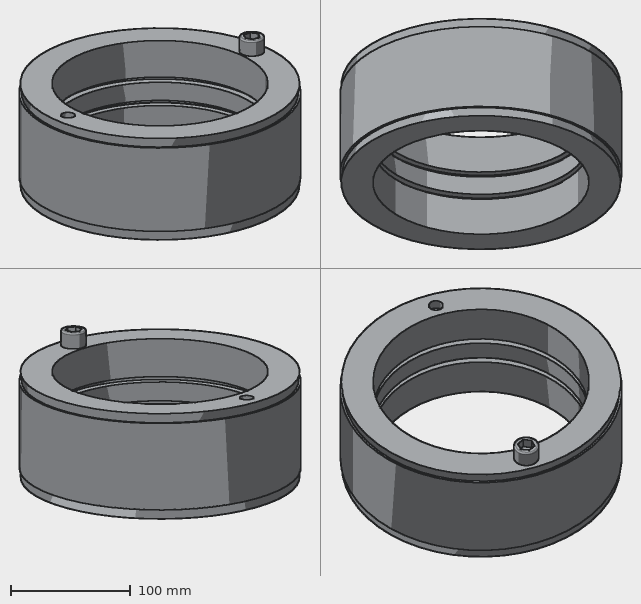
import cadquery as cq

sleeve_diameter = 235.0
bore_diameter = 180.0
ring_stack_height = 92.1
flange_thickness = 8.2
flange_face_diameter = 233.0
flange_root_diameter = 231.0
collar_height = 33.1
collar_diameter = 191.8
groove_width = 4.7
groove_diameter = 193.6

bolt_circle_radius = 102.0
head_diameter = 21.0
head_height = 13.9
head_fillet = 1.5
shank_diameter = 14.0
shank_length = 28.2
hex_across_corners = 14.0
hex_depth = 7.5
socket_tip_height = 3.5
extraction_hole_diameter = 11.8

socket_depth = hex_depth + socket_tip_height
bore_radius = bore_diameter / 2
collar_radius = collar_diameter / 2
groove_radius = groove_diameter / 2


def revolve_profile(points):
    """Revolve a closed (radius, z) profile about the Z axis."""
    return cq.Workplane("XZ").polyline(points).close().revolve(360, (0, 0), (0, 1))


def make_end_ring():
    """Lower end ring: a tapered flange with a collar that fits inside the sleeve."""
    return revolve_profile([
        (bore_radius, 0),
        (flange_face_diameter / 2, 0),
        (flange_root_diameter / 2, flange_thickness),
        (collar_radius, flange_thickness),
        (collar_radius, collar_height),
        (bore_radius, collar_height),
    ])


def make_sleeve():
    """Outer sleeve: a collar seat at each end, then a groove, then the central land."""
    sleeve_top = ring_stack_height - flange_thickness
    lower_groove_top = collar_height + groove_width
    upper_groove_top = ring_stack_height - collar_height
    return revolve_profile([
        (collar_radius, flange_thickness),
        (sleeve_diameter / 2, flange_thickness),
        (sleeve_diameter / 2, sleeve_top),
        (collar_radius, sleeve_top),
        (collar_radius, upper_groove_top),
        (groove_radius, upper_groove_top),
        (groove_radius, upper_groove_top - groove_width),
        (bore_radius, upper_groove_top - groove_width),
        (bore_radius, lower_groove_top),
        (groove_radius, lower_groove_top),
        (groove_radius, collar_height),
        (collar_radius, collar_height),
    ])


def make_shank():
    """Screw shank, also used to cut its matching hole."""
    return (
        cq.Workplane("XY", origin=(0, bolt_circle_radius, ring_stack_height))
        .circle(shank_diameter / 2)
        .extrude(-shank_length)
    )


def make_screw():
    """Socket head screw with a cone-bottomed hexagonal socket."""
    head_top = ring_stack_height + head_height
    head = (
        cq.Workplane("XY", origin=(0, bolt_circle_radius, ring_stack_height))
        .circle(head_diameter / 2)
        .extrude(head_height)
        .faces(">Z").edges().fillet(head_fillet)
    )
    hex_prism = (
        cq.Workplane("XY", origin=(0, bolt_circle_radius, head_top))
        .transformed(rotate=(0, 0, 90))
        .polygon(6, hex_across_corners)
        .extrude(-socket_depth)
    )
    socket_envelope = (
        cq.Workplane("XZ", origin=(0, bolt_circle_radius, 0))
        .moveTo(0, head_top)
        .lineTo(hex_across_corners / 2, head_top)
        .lineTo(hex_across_corners / 2, head_top - hex_depth)
        .lineTo(0, head_top - socket_depth)
        .close()
        .revolve(360, (0, 0), (0, 1))
    )
    return head.union(make_shank()).cut(hex_prism.intersect(socket_envelope))


def make_extraction_hole():
    """Cutter through the upper flange, ending on the sleeve's end face."""
    return (
        cq.Workplane("XY", origin=(0, -bolt_circle_radius, ring_stack_height))
        .circle(extraction_hole_diameter / 2)
        .extrude(-flange_thickness)
    )


lower_ring = make_end_ring()
upper_ring = (
    make_end_ring()
    .mirror("XY")
    .translate((0, 0, ring_stack_height))
    .cut(make_shank())
    .cut(make_extraction_hole())
)
sleeve = make_sleeve().cut(make_shank())
screw = make_screw()

result = cq.Compound.makeCompound([
    sleeve.val(),
    lower_ring.val(),
    upper_ring.val(),
    screw.val(),
])